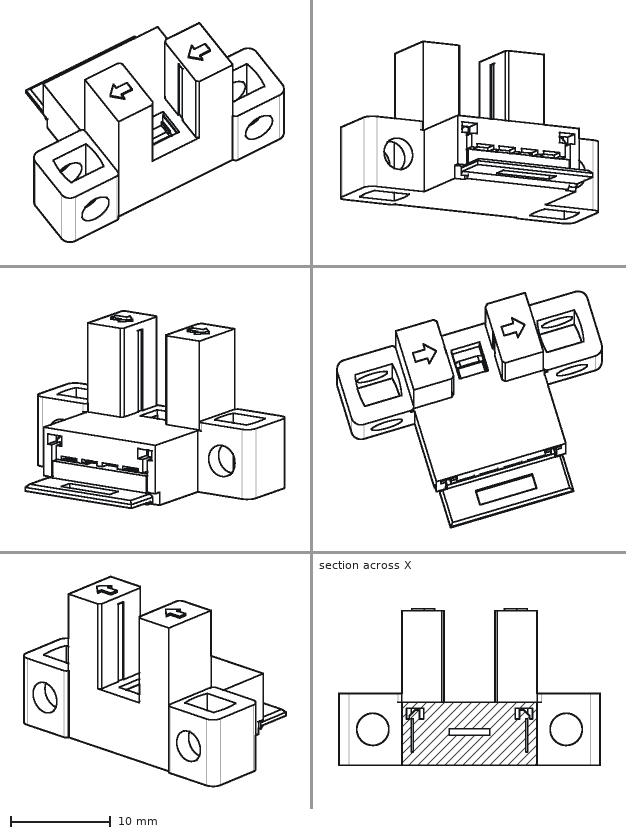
import cadquery as cq


LENGTH = 18.2
WIDTH = 26.2

BODY_FRONT = 3.77
BODY_BACK = 17.92
BODY_HALF = 6.79
BODY_TOP = 6.35
NOTCH_LENGTH = 0.73
NOTCH_TOP = 1.34

TOWER_FRONT = 11.6
TOWER_INNER = 2.55
TOWER_TOP = 15.5
TOWER_CHAMFER = 0.25
TOWER_CENTER = (TOWER_FRONT + BODY_BACK) / 2
APERTURE_WIDTH = 0.79
APERTURE_DEPTH = 0.13
APERTURE_DROP = 0.79

ARROW_HEIGHT = 0.18
ARROW_LENGTH = 2.3
ARROW_SHAFT = 0.95
ARROW_HEAD = 1.05
ARROW_TIP = 3.48

EAR_FRONT = 11.32
EAR_TOP = 7.2
EAR_OUTER_RADIUS = 1.0
EAR_INNER_RADIUS = 0.4
EAR_HOLE_DIAMETER = 3.2
EAR_HOLE_Y = 9.7
WINDOW_WIDTH = 3.35
WINDOW_INNER = 7.6
WINDOW_OUTER = 11.48
WINDOW_BULGE = 0.18

TRAY_HALF = 6.45
TRAY_BOTTOM = 0.55
TRAY_TOP = 1.25
TRAY_CHAMFER = 0.31
TRAY_SLOT_START = 1.25
TRAY_SLOT_WIDTH = 1.52
TRAY_SLOT_LENGTH = 5.92
RAMP_START = 3.45
RAMP_MID = TRAY_BOTTOM - (BODY_FRONT - RAMP_START)

PANEL_HALF = 5.65
PANEL_TOP = 3.0
GAP = 0.15
PLUG_HALF = 5.25
SLIT_TOP = 3.25
LATCH_INNER = 4.6
LATCH_OUTER = 6.31
LATCH_BOTTOM = 4.66
LATCH_TOP = 5.7
TAB_TOP = 3.65
TAB_WIDTH = 1.83
TAB_CENTERS = (1.25, 3.72)
OPENING_DEPTH = 1.3
DEEP_DEPTH = 1.57
STEP_INNER = 2.02
STEP_OUTER = 5.0
STEP_HEIGHT = 0.15
STEP_DEPTH = 0.52
LATCH_STEP = 0.1
TOOTH_INNER = 5.0
TOOTH_OUTER = 6.05
TOOTH_TOP = 5.55
TOOTH_SLOPE = 0.6

POCKET_FRONT = 13.18
POCKET_BACK = 16.22
POCKET_HALF = 1.5
POCKET_DEPTH = 2.1
LEDGE_DROP = 0.58
LEDGE_WIDTH = 0.05
SHELF_HALF = 1.28
SHELF_DROP = 1.57
RIDGE_FRONT = 14.62
RIDGE_BACK = 15.2
RIDGE_HALF = 0.97
RIDGE_DROP = 1.41


def block(x0, x1, y0, y1, z0, z1):
    return cq.Workplane("XY").box(x1 - x0, y1 - y0, z1 - z0, centered=False).translate((x0, y0, z0))


def wide_block(x0, x1, half, z0, z1):
    return block(x0, x1, -half, half, z0, z1)


def both_sides(shape):
    return shape.union(shape.mirror("XZ"))


def body():
    solid = wide_block(BODY_FRONT, BODY_BACK, BODY_HALF, 0, BODY_TOP)
    notch_end = BODY_FRONT + NOTCH_LENGTH
    notch = block(BODY_FRONT, notch_end, PANEL_HALF, BODY_HALF, 0, NOTCH_TOP)
    return solid.cut(both_sides(notch))


def tower():
    """Tower on the +Y side, standing on the body top."""
    solid = block(TOWER_FRONT, BODY_BACK, TOWER_INNER, BODY_HALF, BODY_TOP, TOWER_TOP)
    solid = solid.edges("|Z and <Y").chamfer(TOWER_CHAMFER)
    aperture = block(
        TOWER_CENTER - APERTURE_WIDTH / 2,
        TOWER_CENTER + APERTURE_WIDTH / 2,
        TOWER_INNER,
        TOWER_INNER + APERTURE_DEPTH,
        BODY_TOP,
        TOWER_TOP - APERTURE_DROP,
    )
    return solid.cut(aperture)


def arrow(tip_y):
    """Raised arrow on a tower top, pointing toward -Y."""
    head_y = tip_y + ARROW_HEAD
    tail_y = tip_y + ARROW_LENGTH
    outline = [
        (0, tip_y),
        (ARROW_HEAD, head_y),
        (ARROW_SHAFT / 2, head_y),
        (ARROW_SHAFT / 2, tail_y),
        (-ARROW_SHAFT / 2, tail_y),
        (-ARROW_SHAFT / 2, head_y),
        (-ARROW_HEAD, head_y),
    ]
    flat = cq.Workplane("XY").polyline(outline).close()
    return flat.extrude(ARROW_HEIGHT).translate((TOWER_CENTER, 0, TOWER_TOP))


def ear():
    outer = WIDTH / 2
    solid = block(EAR_FRONT, LENGTH, BODY_HALF, outer, 0, EAR_TOP)
    solid = solid.edges("|Z and >Y").fillet(EAR_OUTER_RADIUS)
    solid = solid.edges("|Z and <Y").fillet(EAR_INNER_RADIUS)
    corner = block(
        EAR_FRONT,
        EAR_FRONT + EAR_INNER_RADIUS,
        BODY_HALF,
        BODY_HALF + EAR_INNER_RADIUS,
        0,
        BODY_TOP,
    )
    solid = solid.union(corner)

    x0 = TOWER_CENTER - WINDOW_WIDTH / 2
    x1 = TOWER_CENTER + WINDOW_WIDTH / 2
    window = (
        cq.Workplane("XY")
        .moveTo(x0, WINDOW_INNER)
        .threePointArc((TOWER_CENTER, WINDOW_INNER - WINDOW_BULGE), (x1, WINDOW_INNER))
        .lineTo(x1, WINDOW_OUTER)
        .threePointArc((TOWER_CENTER, WINDOW_OUTER + WINDOW_BULGE), (x0, WINDOW_OUTER))
        .close()
        .extrude(EAR_TOP)
    )
    hole = (
        cq.Workplane("YZ")
        .center(EAR_HOLE_Y, EAR_TOP / 2)
        .circle(EAR_HOLE_DIAMETER / 2)
        .extrude(LENGTH)
    )
    return solid.cut(window).cut(hole)


def tray():
    plate = wide_block(0, BODY_FRONT, TRAY_HALF, TRAY_BOTTOM, TRAY_TOP)
    plate = plate.faces(">Z").edges("<X or <Y or >Y").chamfer(TRAY_CHAMFER)
    slot = wide_block(
        TRAY_SLOT_START,
        TRAY_SLOT_START + TRAY_SLOT_WIDTH,
        TRAY_SLOT_LENGTH / 2,
        0,
        TRAY_TOP,
    )
    ramp = (
        cq.Workplane("XZ")
        .polyline([(RAMP_START, TRAY_BOTTOM), (BODY_FRONT, TRAY_BOTTOM), (BODY_FRONT, RAMP_MID)])
        .close()
        .extrude(TRAY_HALF, both=True)
    )
    return plate.cut(slot).union(ramp)


def ramp_cut():
    """Wedge that carries the tray ramp on to the underside of the body."""
    ramp_end = RAMP_START + TRAY_BOTTOM
    return (
        cq.Workplane("XZ")
        .polyline([(BODY_FRONT, RAMP_MID), (BODY_FRONT, 0), (ramp_end, 0)])
        .close()
        .extrude(PANEL_HALF, both=True)
    )


def connector_opening():
    back = BODY_FRONT + OPENING_DEPTH
    deep_back = BODY_FRONT + DEEP_DEPTH
    gap_outer = PANEL_HALF + GAP

    latch = block(BODY_FRONT, deep_back, LATCH_INNER, LATCH_OUTER, LATCH_BOTTOM, LATCH_TOP)
    latch = latch.union(
        block(BODY_FRONT, deep_back + LATCH_STEP, LATCH_INNER, gap_outer, LATCH_BOTTOM, LATCH_TOP)
    )
    tooth_outline = [
        (TOOTH_INNER, LATCH_BOTTOM),
        (TOOTH_OUTER, LATCH_BOTTOM),
        (TOOTH_OUTER, TOOTH_TOP - TOOTH_SLOPE),
        (TOOTH_OUTER - TOOTH_SLOPE, TOOTH_TOP),
        (TOOTH_INNER, TOOTH_TOP),
    ]
    tooth = cq.Workplane("YZ").polyline(tooth_outline).close().extrude(LENGTH)
    latch = latch.cut(tooth.translate((back, 0, 0)))

    side_slit = block(BODY_FRONT, back, PLUG_HALF, PANEL_HALF, PANEL_TOP, LATCH_BOTTOM)
    side_gap = block(BODY_FRONT, deep_back, PANEL_HALF, gap_outer, NOTCH_TOP, LATCH_BOTTOM)
    sides = both_sides(latch.union(side_slit).union(side_gap))

    slit = wide_block(BODY_FRONT, back, PANEL_HALF, PANEL_TOP, SLIT_TOP)
    for center in TAB_CENTERS:
        tab = block(
            BODY_FRONT, back, center - TAB_WIDTH / 2, center + TAB_WIDTH / 2, PANEL_TOP, TAB_TOP
        )
        slit = slit.union(both_sides(tab))
    middle = wide_block(back, deep_back, STEP_INNER, PANEL_TOP, TAB_TOP)
    step = block(
        back - STEP_DEPTH, back, STEP_INNER, STEP_OUTER, PANEL_TOP, PANEL_TOP + STEP_HEIGHT
    )
    return slit.cut(both_sides(step)).union(middle).union(sides)


def pocket():
    floor = BODY_TOP - POCKET_DEPTH
    lower_half = POCKET_HALF - LEDGE_WIDTH
    cavity = wide_block(POCKET_FRONT, POCKET_BACK, POCKET_HALF, BODY_TOP - LEDGE_DROP, BODY_TOP)
    cavity = cavity.union(wide_block(POCKET_FRONT, POCKET_BACK, lower_half, floor, BODY_TOP))
    shelf = block(
        POCKET_FRONT, RIDGE_FRONT, SHELF_HALF, POCKET_HALF, floor, BODY_TOP - SHELF_DROP
    )
    ridge_top = BODY_TOP - RIDGE_DROP
    slope_foot = ridge_top - (lower_half - RIDGE_HALF)
    ridge_outline = [
        (-lower_half, floor),
        (lower_half, floor),
        (lower_half, slope_foot),
        (RIDGE_HALF, ridge_top),
        (-RIDGE_HALF, ridge_top),
        (-lower_half, slope_foot),
    ]
    ridge = cq.Workplane("YZ").polyline(ridge_outline).close().extrude(RIDGE_BACK - RIDGE_FRONT)
    return cavity.cut(both_sides(shelf)).cut(ridge.translate((RIDGE_FRONT, 0, 0)))


result = body().union(both_sides(tower())).union(both_sides(ear()))
result = result.cut(connector_opening()).cut(pocket()).cut(ramp_cut())
result = result.union(tray())
for tip in (ARROW_TIP, -ARROW_TIP - ARROW_LENGTH):
    result = result.union(arrow(tip))